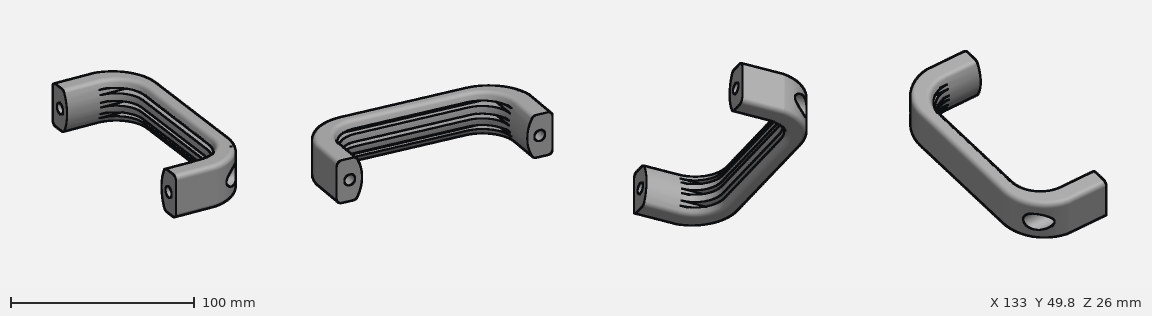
import cadquery as cq
import math

LENGTH = 133.0
REACH = 49.76
HEIGHT = 26.0
HALF_LENGTH = LENGTH / 2
HALF_HEIGHT = HEIGHT / 2

OUTER_BEND_RADIUS = 28.26
OUTER_BEND_INSET = 27.95
OUTER_EDGE_RADIUS = 3.0
BEND_START = REACH - OUTER_BEND_RADIUS

LEG_THICKNESS = 15.7
INNER_BEND_RADIUS = 16.2
NOSE_RADIUS = 24.0
NOSE_EDGE_RADIUS = 3.25

GROOVE_COUNT = 3
GROOVE_WIDTH = 2.85
GROOVE_PITCH = 7.2
GROOVE_DEPTH = 5.0

HOLE_INSET = 8.0
HOLE_DIAMETER = 6.6
COUNTERBORE_DIAMETER = 11.6
COUNTERBORE_FLOOR = BEND_START

LEG_INNER_X = HALF_LENGTH - LEG_THICKNESS
INNER_BEND_X = LEG_INNER_X - INNER_BEND_RADIUS
GRIP_INNER_Y = BEND_START + INNER_BEND_RADIUS


def outer_body():
    """Rounded plate trimmed to the leg sides; both run past the mounting faces at Y = 0."""
    bend_overhang = OUTER_BEND_RADIUS - OUTER_BEND_INSET
    rounded_plate = (
        cq.Workplane("XY")
        .box(LENGTH + 2 * bend_overhang, 2 * REACH, HEIGHT)
        .edges("|Z")
        .fillet(OUTER_BEND_RADIUS)
        .faces("|Z")
        .edges()
        .fillet(OUTER_EDGE_RADIUS)
    )
    leg_envelope = (
        cq.Workplane("XY")
        .box(LENGTH, 2 * REACH, HEIGHT)
        .edges("|Y")
        .fillet(OUTER_EDGE_RADIUS)
    )
    return rounded_plate.intersect(leg_envelope)


def nose_section():
    """Cross-section of the left leg in XZ: convex nose facing +X, open-ended bulk towards -X."""
    nose_x = -LEG_INNER_X
    arc_x = nose_x - NOSE_RADIUS
    edge_z = HALF_HEIGHT - NOSE_EDGE_RADIUS
    center_distance = NOSE_RADIUS - NOSE_EDGE_RADIUS
    tangent_angle = math.asin(edge_z / center_distance)
    edge_x = arc_x + center_distance * math.cos(tangent_angle)
    tangent_x = arc_x + NOSE_RADIUS * math.cos(tangent_angle)
    tangent_z = NOSE_RADIUS * math.sin(tangent_angle)
    mid_angle = (tangent_angle + math.pi / 2) / 2
    mid_x = edge_x + NOSE_EDGE_RADIUS * math.cos(mid_angle)
    mid_z = edge_z + NOSE_EDGE_RADIUS * math.sin(mid_angle)
    bulk_x = nose_x - 2 * LEG_THICKNESS
    return (
        cq.Workplane("XZ")
        .moveTo(bulk_x, -HALF_HEIGHT)
        .lineTo(edge_x, -HALF_HEIGHT)
        .threePointArc((mid_x, -mid_z), (tangent_x, -tangent_z))
        .threePointArc((nose_x, 0), (tangent_x, tangent_z))
        .threePointArc((mid_x, mid_z), (edge_x, HALF_HEIGHT))
        .lineTo(bulk_x, HALF_HEIGHT)
        .close()
    )


def inner_form():
    """Nose section swept along the inner contour: up one leg, across the grip, down the other."""
    diagonal = INNER_BEND_RADIUS * math.sqrt(0.5)
    path = (
        cq.Workplane("XY")
        .moveTo(-LEG_INNER_X, 0)
        .lineTo(-LEG_INNER_X, BEND_START)
        .threePointArc(
            (-INNER_BEND_X - diagonal, BEND_START + diagonal),
            (-INNER_BEND_X, GRIP_INNER_Y),
        )
        .lineTo(INNER_BEND_X, GRIP_INNER_Y)
        .threePointArc(
            (INNER_BEND_X + diagonal, BEND_START + diagonal),
            (LEG_INNER_X, BEND_START),
        )
        .lineTo(LEG_INNER_X, 0)
    )
    return nose_section().sweep(path)


def finger_grooves():
    """Square grooves cut into the grip along +Y and ending on the inner sides of the legs."""
    floor_y = GRIP_INNER_Y + GROOVE_DEPTH
    lowest_z = -(GROOVE_COUNT - 1) / 2 * GROOVE_PITCH
    centers = [(0, 0, lowest_z + index * GROOVE_PITCH) for index in range(GROOVE_COUNT)]
    groove_length = floor_y - BEND_START
    grooves = (
        cq.Workplane("XY", origin=(0, BEND_START + groove_length / 2, 0))
        .pushPoints(centers)
        .box(LENGTH, groove_length, GROOVE_WIDTH)
    )
    left_leg = nose_section().extrude(-REACH)
    right_leg = left_leg.mirror("YZ")
    return grooves.cut(left_leg).cut(right_leg)


def screw_holes():
    """Clearance holes through the legs with counterbores open at the outer bends."""
    hole_x = HALF_LENGTH - HOLE_INSET
    centers = [(-hole_x, 0), (hole_x, 0)]
    clearance = cq.Workplane("XZ").pushPoints(centers).circle(HOLE_DIAMETER / 2).extrude(-REACH)
    counterbores = (
        cq.Workplane("XZ", origin=(0, COUNTERBORE_FLOOR, 0))
        .pushPoints(centers)
        .circle(COUNTERBORE_DIAMETER / 2)
        .extrude(COUNTERBORE_FLOOR - REACH)
    )
    return clearance.union(counterbores)


result = outer_body().intersect(inner_form()).cut(finger_grooves()).cut(screw_holes())